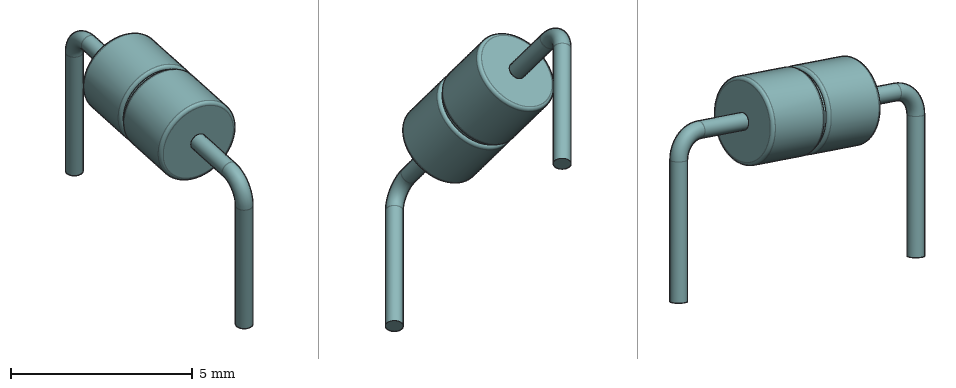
import cadquery as cq

body_length = 4.0
body_diameter = 2.5
edge_radius = 0.1
groove_floor_width = 0.1

overall_length = 9.2
overall_height = 6.0
wire_diameter = 0.5
bend_radius = 0.745

body_radius = body_diameter / 2
core_radius = body_radius - edge_radius
drum_length = (body_length - groove_floor_width) / 2
leg_x = (overall_length - wire_diameter) / 2
leg_bottom_z = body_radius - overall_height


def cylinder_along_x(radius, length, start_x):
    return cq.Workplane("YZ").workplane(offset=start_x).circle(radius).extrude(length)


def make_drum(start_x):
    """One half of the body, rounded at both rims."""
    return cylinder_along_x(body_radius, drum_length, start_x).edges().fillet(edge_radius)


def make_body():
    left_drum = make_drum(-body_length / 2)
    right_drum = make_drum(groove_floor_width / 2)
    core = cylinder_along_x(core_radius, drum_length, -drum_length / 2)
    return left_drum.union(core).union(right_drum)


def make_wire():
    """One continuous wire through the body axis, bent down at both ends."""
    bend_start_x = leg_x - bend_radius
    path = (
        cq.Workplane("XZ")
        .moveTo(-leg_x, leg_bottom_z)
        .lineTo(-leg_x, -bend_radius)
        .radiusArc((-bend_start_x, 0), bend_radius)
        .lineTo(bend_start_x, 0)
        .radiusArc((leg_x, -bend_radius), bend_radius)
        .lineTo(leg_x, leg_bottom_z)
    )
    profile = cq.Workplane("XY", origin=(-leg_x, 0, leg_bottom_z)).circle(wire_diameter / 2)
    return profile.sweep(path)


result = make_body().union(make_wire())